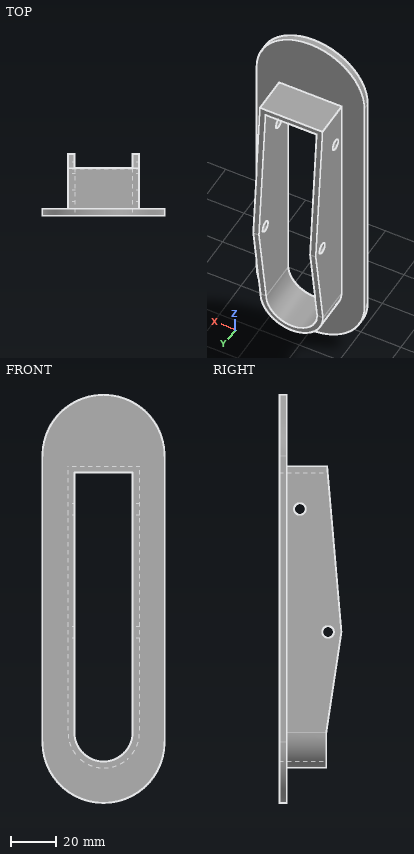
import cadquery as cq

plate_width = 54.0
plate_height = 180.0
plate_thickness = 3.2

opening_width = 25.5
opening_top = 55.6
opening_arc_z = -58.9

wall = 2.9
housing_top = opening_top + wall
housing_width = opening_width + 2 * wall
top_depth = 21.0
bottom_depth = 20.7
peak_depth = 27.4
peak_z = -14.5

hole_diameter = 5.0
hole_positions = [(9.0, 39.6), (21.5, peak_z)]


def round_bottom_prism(width, top, depth):
    """Square-topped, round-bottomed outline extruded from Y = 0 towards +Y."""
    radius = width / 2
    return (
        cq.Workplane("XZ")
        .moveTo(-radius, top)
        .lineTo(-radius, opening_arc_z)
        .threePointArc((0, opening_arc_z - radius), (radius, opening_arc_z))
        .lineTo(radius, top)
        .close()
        .extrude(-depth)
    )


def side_profile():
    """Block that trims the housing to its peaked side outline."""
    housing_bottom = opening_arc_z - housing_width / 2
    return (
        cq.Workplane("YZ")
        .moveTo(0, housing_top)
        .lineTo(top_depth, housing_top)
        .lineTo(peak_depth, peak_z)
        .lineTo(bottom_depth, opening_arc_z)
        .lineTo(bottom_depth, housing_bottom)
        .lineTo(0, housing_bottom)
        .close()
        .extrude(housing_width / 2, both=True)
    )


plate = cq.Workplane("XZ").slot2D(plate_height, plate_width, 90).extrude(-plate_thickness)
housing = round_bottom_prism(housing_width, housing_top, peak_depth).intersect(side_profile())
opening = round_bottom_prism(opening_width, opening_top, peak_depth)
cross_holes = (
    cq.Workplane("YZ")
    .pushPoints(hole_positions)
    .circle(hole_diameter / 2)
    .extrude(housing_width, both=True)
)

result = plate.union(housing).cut(opening).cut(cross_holes)